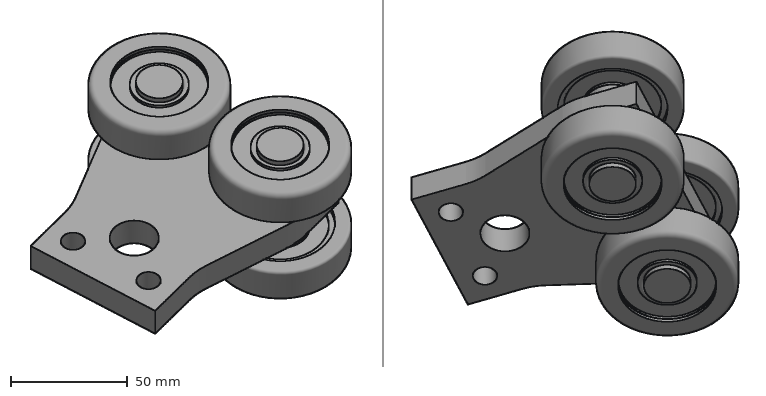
import cadquery as cq


plate_thickness = 14.0
head_width = 100.0
tail_width = 66.0
plate_top_y = 18.0
plate_bottom_y = -92.0
taper_start_y = -12.0
taper_end_y = -62.0
taper_blend_radius = 30.0
corner_search_margin = 1.2

hanger_hole_diameter = 21.0
hanger_hole_y = taper_end_y
bolt_hole_diameter = 10.4
bolt_hole_spacing = 40.0
bolt_hole_y = -79.0

axle_spacing = 64.0
axle_x_positions = (-axle_spacing / 2, axle_spacing / 2)
overall_height = 64.5
shoulder_diameter = 25.0
pin_diameter = 20.0

wheel_diameter = 61.0
wheel_width = 17.2
wheel_outer_fillet = 2.5
wheel_inner_fillet = 1.2
lip_diameter = 42.0

bearing_diameter = 47.0
bearing_width = 14.0
bearing_fillet = 1.5
outer_race_bore = 41.6
inner_race_diameter = 25.4
cover_recess = 1.4

wheel_outer_z = overall_height / 2
wheel_inner_z = wheel_outer_z - wheel_width
bearing_margin = (wheel_width - bearing_width) / 2
bearing_outer_z = wheel_outer_z - bearing_margin
bearing_inner_z = wheel_inner_z + bearing_margin


def disc(diameter, z_from, z_to):
    return cq.Workplane("XY").workplane(offset=z_from).circle(diameter / 2).extrude(z_to - z_from)


def ring(outer_diameter, inner_diameter, z_from, z_to):
    return disc(outer_diameter, z_from, z_to).cut(disc(inner_diameter, z_from, z_to))


def make_plate():
    head_x = head_width / 2
    tail_x = tail_width / 2
    outline = [
        (head_x, plate_top_y),
        (head_x, taper_start_y),
        (tail_x, taper_end_y),
        (tail_x, plate_bottom_y),
        (-tail_x, plate_bottom_y),
        (-tail_x, taper_end_y),
        (-head_x, taper_start_y),
        (-head_x, plate_top_y),
    ]
    plate = cq.Workplane("XY").polyline(outline).close().extrude(plate_thickness / 2, both=True)

    for taper_y in (taper_start_y, taper_end_y):
        corners = cq.selectors.BoxSelector(
            (-head_width, taper_y - corner_search_margin, -plate_thickness),
            (head_width, taper_y + corner_search_margin, plate_thickness),
        )
        plate = plate.edges("|Z").edges(corners).fillet(taper_blend_radius)

    hanger_hole = disc(hanger_hole_diameter, -plate_thickness, plate_thickness)
    plate = plate.cut(hanger_hole.translate((0, hanger_hole_y, 0)))
    bolt_hole = disc(bolt_hole_diameter, -plate_thickness, plate_thickness)
    for side in (-1, 1):
        plate = plate.cut(bolt_hole.translate((side * bolt_hole_spacing / 2, bolt_hole_y, 0)))
    return plate


def make_tyre():
    tyre = disc(wheel_diameter, wheel_inner_z, wheel_outer_z)
    tyre = tyre.faces(">Z").edges().fillet(wheel_outer_fillet)
    tyre = tyre.faces("<Z").edges().fillet(wheel_inner_fillet)
    tyre = tyre.cut(disc(bearing_diameter, wheel_inner_z, bearing_outer_z))
    return tyre.cut(disc(lip_diameter, bearing_outer_z, wheel_outer_z))


def make_bearing():
    outer_race = ring(bearing_diameter, outer_race_bore, bearing_inner_z, bearing_outer_z)
    outer_race = outer_race.faces("<Z").edges(cq.selectors.RadiusNthSelector(-1)).fillet(bearing_fillet)

    inner_race = ring(inner_race_diameter, pin_diameter, bearing_inner_z, bearing_outer_z)
    inner_race = inner_race.faces(">Z").edges(cq.selectors.RadiusNthSelector(0)).fillet(bearing_fillet)

    covers = ring(
        outer_race_bore, inner_race_diameter, bearing_inner_z + cover_recess, bearing_outer_z - cover_recess
    )
    return outer_race.union(covers).union(inner_race)


def make_half_axle():
    pin = disc(pin_diameter, 0, wheel_outer_z)
    shoulder = disc(shoulder_diameter, 0, bearing_inner_z)
    return pin.union(shoulder)


upper_wheel = make_tyre().union(make_bearing()).union(make_half_axle())
wheel_pair = upper_wheel.union(upper_wheel.mirror("XY"))

result = make_plate()
for axle_x in axle_x_positions:
    result = result.union(wheel_pair.translate((axle_x, 0, 0)))